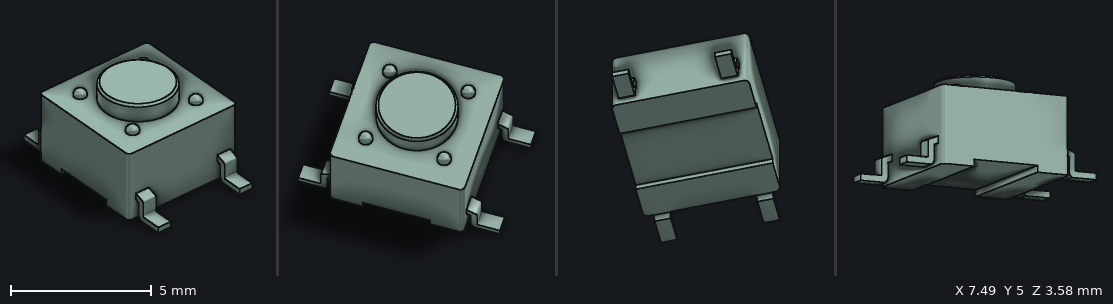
import cadquery as cq
import math

body_side = 5.0
body_height = 2.86
corner_radius = 0.18
notch_width = body_side / 2
notch_height = 0.25

total_height = 3.58
button_diameter = 2.91
button_chamfer = 0.09

peg_diameter = 0.5
peg_height = 0.255
peg_rounding = 0.21
peg_spacing = button_diameter

lead_span = 7.49
lead_width = 0.59
lead_thickness = 0.25
lead_spacing = 3.745
riser_outer_offset = 0.84
riser_top = 0.91
arm_angle = 20.0
heel_run = 0.11
heel_rise = 0.22
heel_radius = 0.27
foot_bend_radius = 0.06
upper_bend_outer_radius = 0.1
upper_bend_inner_radius = 0.05
lead_embed = 0.075


def make_body():
    block = cq.Workplane("XY").box(body_side, body_side, body_height, centered=(True, True, False))
    block = block.edges("|Z").fillet(corner_radius)
    notch = cq.Workplane("XY").box(notch_width, body_side, notch_height, centered=(True, True, False))
    return block.cut(notch)


def make_button():
    button = (
        cq.Workplane("XY")
        .workplane(offset=body_height)
        .circle(button_diameter / 2)
        .extrude(total_height - body_height)
    )
    return button.faces(">Z").edges().chamfer(button_chamfer)


def make_pegs():
    pegs = (
        cq.Workplane("XY")
        .workplane(offset=body_height)
        .rarray(peg_spacing, peg_spacing, 2, 2)
        .circle(peg_diameter / 2)
        .extrude(peg_height)
    )
    return pegs.faces(">Z").edges().fillet(peg_rounding)


def make_left_lead(center_y):
    """Lead on the -X side: flat foot, upright riser and sloping arm."""
    slope = math.tan(math.radians(arm_angle))
    tip_x = -lead_span / 2
    outer_x = tip_x + riser_outer_offset
    inner_x = outer_x + lead_thickness
    arm_end_x = -body_side / 2 + lead_embed
    arm_drop = lead_thickness / math.cos(math.radians(arm_angle))
    arm_end_top = riser_top + slope * (arm_end_x - outer_x)
    inner_bend_z = riser_top + slope * lead_thickness - arm_drop

    lead = (
        cq.Workplane("XZ", origin=(0, center_y, 0))
        .moveTo(tip_x, 0)
        .lineTo(inner_x - heel_run, 0)
        .radiusArc((inner_x, heel_rise), -heel_radius)
        .lineTo(inner_x, inner_bend_z)
        .lineTo(arm_end_x, arm_end_top - arm_drop)
        .lineTo(arm_end_x, arm_end_top)
        .lineTo(outer_x, riser_top)
        .lineTo(outer_x, lead_thickness)
        .lineTo(tip_x, lead_thickness)
        .close()
        .extrude(lead_width / 2, both=True)
    )
    bends = (
        (outer_x, lead_thickness, foot_bend_radius),
        (outer_x, riser_top, upper_bend_outer_radius),
        (inner_x, inner_bend_z, upper_bend_inner_radius),
    )
    for x, z, radius in bends:
        bend_edge = cq.selectors.NearestToPointSelector((x, center_y, z))
        lead = lead.edges(bend_edge).fillet(radius)
    return lead


result = make_body().union(make_button()).union(make_pegs())
for lead_y in (-lead_spacing / 2, lead_spacing / 2):
    left_lead = make_left_lead(lead_y)
    result = result.union(left_lead).union(left_lead.mirror("YZ"))